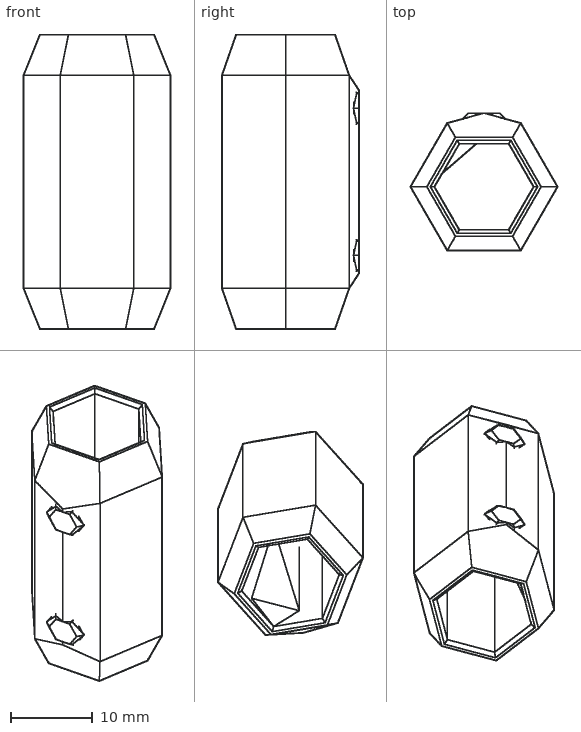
import cadquery as cq
import math

length = 36.0
body_radius = 9.0
rim_radius = 7.0
end_taper = 5.0
bore_radius = 6.05
mouth_radius = 6.55
mouth_depth = 0.5
ridge_half = 11.15

stud_spacing = 18.0
stud_radius = 2.55
stud_top_radius = 1.9
stud_bevel = 0.65
stud_height = 1.8

half_length = length / 2
body_half = half_length - end_taper
bore_half = half_length - mouth_depth
seat_y = body_radius - stud_height


def hexagon_points(radius, z):
    """Corners of a hexagon about the Z axis, the first one on +X."""
    angles = [math.radians(60 * i) for i in range(6)]
    return [cq.Vector(radius * math.cos(a), radius * math.sin(a), z) for a in angles]


def polyhedron(faces):
    """Solid bounded by flat faces, each given as a list of corners."""
    shell = cq.Shell.makeShell([cq.Face.makeFromWires(cq.Wire.makePolygon(f, close=True)) for f in faces])
    return cq.Workplane(cq.Solid.makeSolid(shell).fix())


def hexagon_frustum(bottom_radius, bottom_z, top_radius, top_z):
    """Hexagonal prism or frustum about the Z axis."""
    bottom = hexagon_points(bottom_radius, bottom_z)
    top = hexagon_points(top_radius, top_z)
    sides = [[bottom[i - 1], bottom[i], top[i], top[i - 1]] for i in range(6)]
    return polyhedron([bottom, top] + sides)


def hipped_ridge(radius, half_span):
    """Roof on the +Y face of a hexagonal prism: ridge line at Y = radius, hipped at both ends."""
    right_top, left_top = hexagon_points(radius, half_span)[1:3]
    right_bottom, left_bottom = hexagon_points(radius, -half_span)[1:3]
    peak_top = cq.Vector(0, radius, ridge_half)
    peak_bottom = cq.Vector(0, radius, -ridge_half)
    return polyhedron([
        [right_top, left_top, left_bottom, right_bottom],
        [right_top, peak_top, peak_bottom, right_bottom],
        [left_top, peak_top, peak_bottom, left_bottom],
        [right_top, left_top, peak_top],
        [right_bottom, left_bottom, peak_bottom],
    ])


def make_body():
    """Hexagonal barrel with tapered ends and a hipped ridge on its +Y face."""
    barrel = hexagon_frustum(body_radius, -body_half, body_radius, body_half)
    top_end = hexagon_frustum(body_radius, body_half, rim_radius, half_length)
    bottom_end = hexagon_frustum(rim_radius, -half_length, body_radius, -body_half)
    return barrel.union(top_end).union(bottom_end).union(hipped_ridge(body_radius, body_half))


def make_bore():
    """Hexagonal through bore with chamfered mouths and a hipped roof that follows the ridge."""
    bore = hexagon_frustum(bore_radius, -bore_half, bore_radius, bore_half)
    top_mouth = hexagon_frustum(bore_radius, bore_half, mouth_radius, half_length)
    bottom_mouth = hexagon_frustum(mouth_radius, -half_length, bore_radius, -bore_half)
    return bore.union(top_mouth).union(bottom_mouth).union(hipped_ridge(bore_radius, bore_half))


def make_corner_web():
    """Sloping web in the -X +Y corner of the bore, growing from nothing at the top mouth."""
    top = hexagon_points(bore_radius, bore_half)[2]
    bottom = hexagon_points(bore_radius, -bore_half)[2]
    foot = hexagon_points(rim_radius, -half_length)[3]
    peak = cq.Vector(0, bore_radius, -ridge_half)
    return polyhedron([
        [top, foot, peak],
        [bottom, foot, peak],
        [top, bottom, peak],
        [top, bottom, foot],
    ])


def make_stud(z):
    """Bevelled hexagonal stud along Y, corners toward +X and -X, top flush with the ridge line."""
    shoulder = body_radius - stud_bevel
    shank = hexagon_frustum(stud_radius, seat_y, stud_radius, shoulder)
    bevel = hexagon_frustum(stud_radius, shoulder, stud_top_radius, body_radius)
    upright = shank.union(bevel)
    return upright.rotate((0, 0, 0), (1, 0, 0), -90).translate((0, 0, z))


studs = [make_stud(z) for z in (-stud_spacing / 2, stud_spacing / 2)]

housing = make_body().cut(make_bore()).union(make_corner_web())
for stud in studs:
    housing = housing.cut(stud)

result = cq.Compound.makeCompound([housing.solids().val(), *[stud.solids().val() for stud in studs]])